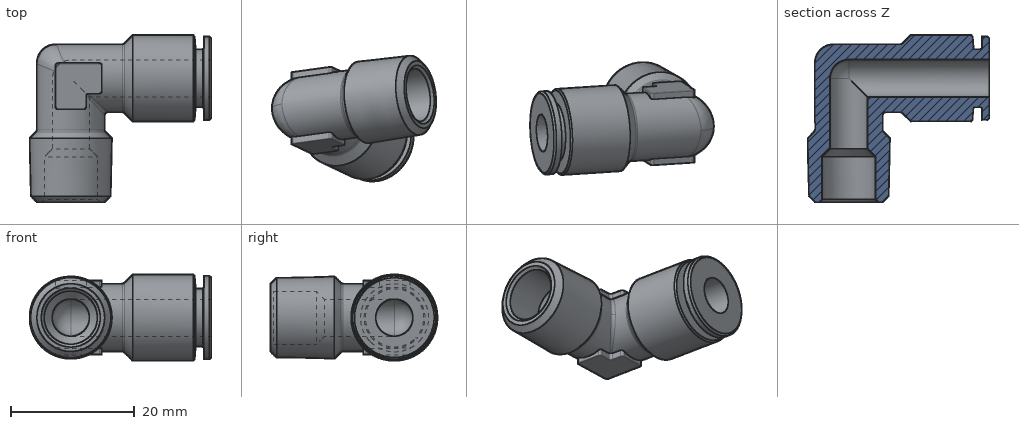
import cadquery as cq

tube_radius = 5.5
flare_start = 8.5
flare_root_fillet = 0.5
bend_outer_fillet = 3.05
bend_inner_fillet = 0.5

thread_end = 20.0
thread_large_radius = 6.67
thread_small_radius = 6.47
thread_chamfer = 1.0

body_radius = 7.0
body_end = 20.0
body_chamfer = 0.25
body_face_rise = 0.18
neck_radius = 4.7
neck_flare = 0.2
collar_end = 29.4 - thread_large_radius
collar_radius = 6.75
collar_thickness = 1.23
collar_chamfer = 0.32

bore_radius = 3.0
pocket_radius = 4.3
pocket_floor_start = 12.65
mouth_chamfer = 0.47

pad_near = 2.47
pad_far = 5.03
pad_height = 6.0
pad_corner_fillet = 0.45
pad_edge_fillet = 0.1


def revolve_about_x(points):
    """Revolve an outline of (position along X, radius) points about the X axis."""
    return cq.Workplane("XY").polyline(points).close().revolve(360, (0, 0, 0), (1, 0, 0))


def turn_to_threaded_leg(solid):
    """Turn a solid lying along +X to lie along -Y."""
    return solid.rotate((0, 0, 0), (0, 0, 1), -90)


def flare_end(radius):
    """Distance from the origin where a flare reaches the given radius."""
    return flare_start + radius - tube_radius


def round_flare_root(leg):
    """Fillet the concave edge where a leg along +X flares out from the tube."""
    margin = 0.03
    reach = tube_radius + margin
    root = cq.selectors.BoxSelector(
        (flare_start - margin, -reach, -reach),
        (flare_start + margin, reach, reach),
    )
    return leg.edges(root).fillet(flare_root_fillet)


def make_bend_with_pads():
    """Two tubes mitred at the origin, with the pads, and the mitre edges rounded."""
    reach = 2 * flare_start
    tube = cq.Workplane("YZ").workplane(offset=-flare_start).circle(tube_radius).extrude(reach)
    push_in_side = (
        cq.Workplane("XY")
        .polyline([(-reach, reach), (reach, reach), (reach, -reach)])
        .close()
        .extrude(reach, both=True)
    )
    bend = tube.intersect(push_in_side).union(turn_to_threaded_leg(tube).cut(push_in_side))

    pads = (
        cq.Workplane("XY")
        .moveTo(-pad_near, pad_near)
        .lineTo(pad_far, pad_near)
        .lineTo(pad_far, -pad_near)
        .lineTo(pad_near, -pad_near)
        .lineTo(pad_near, -pad_far)
        .lineTo(-pad_near, -pad_far)
        .close()
        .extrude(pad_height, both=True)
        .edges("|Z")
        .fillet(pad_corner_fillet)
        .faces("<Z or >Z")
        .edges()
        .fillet(pad_edge_fillet)
    )
    bend = bend.union(pads)

    outer = cq.selectors.BoxSelector((-reach, 0, -reach), (0, reach, reach))
    inner = cq.selectors.BoxSelector((0, -reach, -reach), (reach, 0, reach))
    bend = bend.edges("%ELLIPSE").edges(outer).fillet(bend_outer_fillet)
    return bend.edges("%ELLIPSE").edges(inner).fillet(bend_inner_fillet)


def make_threaded_leg():
    outline = [
        (pad_far, 0),
        (pad_far, tube_radius),
        (flare_start, tube_radius),
        (flare_end(thread_large_radius), thread_large_radius),
        (thread_end - thread_chamfer, thread_small_radius),
        (thread_end, thread_small_radius - thread_chamfer),
        (thread_end, 0),
    ]
    return turn_to_threaded_leg(round_flare_root(revolve_about_x(outline)))


def make_push_in_leg():
    collar_start = collar_end - collar_thickness
    outline = [
        (pad_far, 0),
        (pad_far, tube_radius),
        (flare_start, tube_radius),
        (flare_end(body_radius), body_radius),
        (body_end - body_chamfer, body_radius),
        (body_end, body_radius - body_chamfer),
        (body_end + body_face_rise, neck_radius),
        (collar_start - neck_flare, neck_radius),
        (collar_start, neck_radius + neck_flare),
        (collar_start, collar_radius),
        (collar_end - collar_chamfer, collar_radius),
        (collar_end, collar_radius - collar_chamfer),
        (collar_end, 0),
    ]
    return round_flare_root(revolve_about_x(outline))


def make_bore():
    pocket_floor_end = pocket_floor_start - (pocket_radius - bore_radius)
    threaded_bore_outline = [
        (0, 0),
        (0, bore_radius),
        (pocket_floor_end, bore_radius),
        (pocket_floor_start, pocket_radius),
        (thread_end - mouth_chamfer, pocket_radius),
        (thread_end, pocket_radius + mouth_chamfer),
        (thread_end, 0),
    ]
    threaded_bore = turn_to_threaded_leg(revolve_about_x(threaded_bore_outline))
    push_in_bore = cq.Workplane("YZ").circle(bore_radius).extrude(collar_end)
    rounded_turn = cq.Workplane("XY").sphere(bore_radius)
    return threaded_bore.union(push_in_bore).union(rounded_turn)


body = make_bend_with_pads().union(make_threaded_leg()).union(make_push_in_leg())
result = body.cut(make_bore())